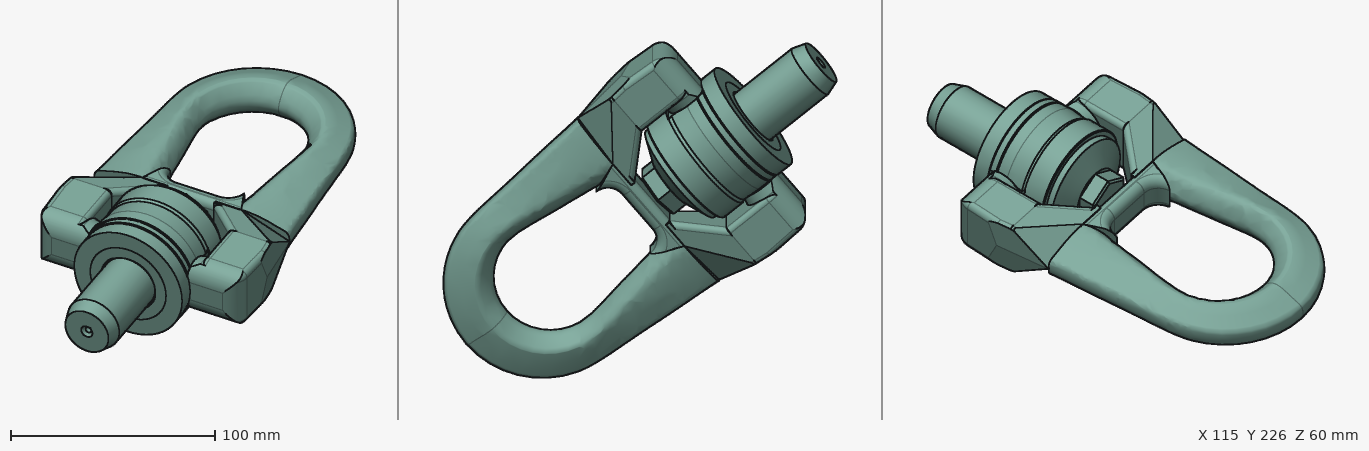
import cadquery as cq
import math


shank_tip_y = -43.2
shank_chamfer_y = -36.2
ring_top_y = 8.4
body_base_y = ring_top_y
body_top_y = 43.0
collar_top_y = 46.5
cone_top_y = 52.6
head_top_y = 61.5

shank_diameter = 28.58
shank_tip_diameter = 24.0
relief_diameter = 30.12
relief_depth = 1.0
journal_diameter = 42.0
collar_diameter = 54.0
cone_top_diameter = 28.0
head_across_flats = 24.2
head_bevel = 1.0
center_hole_diameter = 3.15
center_hole_depth = 5.0
center_countersink_diameter = 6.3

body_diameter = 60.0
ring_diameter = 59.8
edge_chamfer = 0.5
waist_y = 28.8
waist_top_y = 30.6
waist_diameter = 58.6
band_y = 19.2
groove_width = 0.6
groove_depth = 0.5
groove_y = 12.7
flat_half_width = 27.9

bow_center_y = 134.3
bow_radius = 48.5
eye_center_y = 129.0
eye_radius = 27.8
bow_half_thickness = 10.0
bow_inner_round_depth = 9.5
nose_depth = 3.0
nose_half_thickness = 5.5
flank_slope = 0.3
arc_steps = 6
leg_steps = 4

shoulder_y = 66.6
shoulder_half_width = 54.2
shoulder_facet_x = 27.4
leg_inner_half_width = 19.2
eye_bottom_y = 73.8
eye_bottom_half_width = 20.6
eye_corner_radius = 9.0
eye_edge_round = 5.0
crossbar_arch_round = 4.0

lug_half_thickness = 15.5
lug_bottom_y = 9.0
pad_top_y = 44.0
lug_round = 10.2
lug_widest_y = 36.5
lug_half_width = 57.5
lug_lower_half_width = 56.0
lug_flat_half_width = 46.5
foot_corner_round = 9.0
pad_top_half_width = 56.7
lug_edge_round = 3.2
flank_setback = 1.1
arch_top_y = 64.3
arch_top_half_width = 13.3
arch_half_width = 32.4
arch_edge_round = 2.8

boss_center_y = 16.5
boss_base_radius = 14.4
boss_tip_radius = 13.2
boss_root_length = 4.0


def revolve_about_bolt(outline):
    """Turn a closed list of (radius, y) points about the Y axis."""
    profile = cq.Workplane("XY").polyline(outline).close()
    return profile.revolve(360, (0, 0, 0), (0, 1, 0))


def along_y(y):
    """Workplane at height y whose normal points along +Y."""
    return cq.Workplane(cq.Plane((0, y, 0), (1, 0, 0), (0, 1, 0)))


def make_bolt():
    shank_r = shank_diameter / 2
    relief_r = relief_diameter / 2
    journal_r = journal_diameter / 2
    collar_r = collar_diameter / 2
    hole_r = center_hole_diameter / 2
    sink_r = center_countersink_diameter / 2
    sink_floor_y = shank_tip_y + (sink_r - hole_r)
    hole_floor_y = shank_tip_y + center_hole_depth
    turned = revolve_about_bolt([
        (0, hole_floor_y),
        (hole_r, hole_floor_y),
        (hole_r, sink_floor_y),
        (sink_r, shank_tip_y),
        (shank_tip_diameter / 2, shank_tip_y),
        (shank_r, shank_chamfer_y),
        (shank_r, relief_depth),
        (relief_r, relief_depth),
        (relief_r, 0),
        (journal_r, 0),
        (journal_r, body_top_y),
        (collar_r, body_top_y),
        (collar_r, collar_top_y),
        (cone_top_diameter / 2, cone_top_y),
        (0, cone_top_y),
    ])
    corner_diameter = head_across_flats / math.cos(math.pi / 6)
    head = (
        along_y(cone_top_y)
        .transformed(rotate=(0, 0, 90))
        .polygon(6, corner_diameter)
        .extrude(head_top_y - cone_top_y)
        .faces(">Y")
        .chamfer(head_bevel)
    )
    return turned.union(head)


def make_retaining_ring():
    blank = along_y(0).circle(ring_diameter / 2).extrude(ring_top_y)
    return blank.cut(along_y(0).circle(journal_diameter / 2).extrude(ring_top_y))


def make_swivel_body():
    outer_r = body_diameter / 2
    waist_r = waist_diameter / 2
    bore_r = journal_diameter / 2
    body = revolve_about_bolt([
        (bore_r, body_base_y),
        (outer_r - edge_chamfer, body_base_y),
        (outer_r, body_base_y + edge_chamfer),
        (outer_r, band_y),
        (waist_r, waist_y),
        (outer_r, waist_top_y),
        (outer_r, body_top_y - edge_chamfer),
        (outer_r - edge_chamfer, body_top_y),
        (bore_r, body_top_y),
    ])
    groove = (
        along_y(groove_y - groove_width / 2)
        .circle(outer_r)
        .circle(outer_r - groove_depth)
        .extrude(groove_width)
    )
    body = body.cut(groove)
    flat_height = boss_center_y + boss_base_radius - body_base_y
    offset = flat_half_width + outer_r
    for side in (-1, 1):
        beyond_flat = cq.Workplane("XY").box(body_diameter, flat_height, body_diameter)
        body = body.cut(beyond_flat.translate((side * offset, body_base_y + flat_height / 2, 0)))
    return body


def bow_section(outer, inner):
    """Bow cross-section between an outer and an inner edge point (x, y):
    blunt nose outside, sloping flanks, round inside."""
    width = math.dist(outer, inner)
    across = cq.Vector(inner[0] - outer[0], inner[1] - outer[1], 0)
    plane = cq.Plane((outer[0], outer[1], 0), across, across.cross(cq.Vector(0, 0, 1)))
    crest = width - bow_inner_round_depth
    return (
        cq.Workplane(plane)
        .moveTo(0, 0)
        .spline(
            [(nose_depth, nose_half_thickness), (crest, bow_half_thickness), (width, 0),
             (crest, -bow_half_thickness), (nose_depth, -nose_half_thickness), (0, 0)],
            tangents=[(0, 1), (1, flank_slope), (1, 0), (0, -1), (-1, 0), (-1, flank_slope), (0, 1)],
            includeCurrent=True,
        )
        .close()
        .val()
    )


def tangent_angle(center_y, radius, x, y):
    """Angle from +Y at which a line from (x, y) touches a circle centred on the Y axis."""
    rise = y - center_y
    return math.atan2(x, rise) - math.acos(radius / math.hypot(x, rise))


def make_bow():
    outer_end = tangent_angle(bow_center_y, bow_radius, shoulder_half_width, shoulder_y)
    inner_end = tangent_angle(eye_center_y, eye_radius, leg_inner_half_width, shoulder_y)

    outer_ends = (
        (bow_radius * math.sin(outer_end), bow_center_y + bow_radius * math.cos(outer_end)),
        (shoulder_half_width, shoulder_y),
    )
    inner_ends = (
        (eye_radius * math.sin(inner_end), eye_center_y + eye_radius * math.cos(inner_end)),
        (leg_inner_half_width, shoulder_y),
    )

    def arc_section(fraction):
        a = fraction * outer_end
        b = fraction * inner_end
        outer = (bow_radius * math.sin(a), bow_center_y + bow_radius * math.cos(a))
        inner = (eye_radius * math.sin(b), eye_center_y + eye_radius * math.cos(b))
        return bow_section(outer, inner)

    def leg_section(fraction):
        outer = [p + fraction * (q - p) for p, q in zip(*outer_ends)]
        inner = [p + fraction * (q - p) for p, q in zip(*inner_ends)]
        return bow_section(outer, inner)

    arc_sections = [arc_section(i / arc_steps) for i in range(arc_steps + 1)]
    leg_sections = [leg_section((i + 1) / leg_steps) for i in range(leg_steps)]
    half = cq.Workplane(cq.Solid.makeLoft(arc_sections + leg_sections))
    return half.union(half.mirror("YZ"))


def edges_between(x_range, y_range):
    """Selector for edges whose centre lies in the given X and Y ranges."""
    reach = 2 * lug_half_thickness
    low = (x_range[0], y_range[0], -reach)
    high = (x_range[1], y_range[1], reach)
    return cq.selectors.BoxSelector(low, high)


def make_crossbar():
    """Bar that closes the eye, with round lower eye corners and rounded edges."""
    top_y = eye_bottom_y + eye_corner_radius
    blank = (
        cq.Workplane("XY")
        .moveTo(-arch_top_half_width, arch_top_y)
        .lineTo(arch_top_half_width, arch_top_y)
        .lineTo(shoulder_facet_x, shoulder_y)
        .lineTo(eye_bottom_half_width, top_y)
        .radiusArc((eye_bottom_half_width - eye_corner_radius, eye_bottom_y), eye_corner_radius)
        .lineTo(eye_corner_radius - eye_bottom_half_width, eye_bottom_y)
        .radiusArc((-eye_bottom_half_width, top_y), eye_corner_radius)
        .lineTo(-shoulder_facet_x, shoulder_y)
        .close()
        .extrude(bow_half_thickness, both=True)
    )
    eye_edges = edges_between((-1, 1), (eye_bottom_y - 1, eye_bottom_y + 1))
    arch_edges = edges_between((-1, 1), (arch_top_y - 1, arch_top_y + 1))
    return blank.edges(eye_edges).fillet(eye_edge_round).edges(arch_edges).fillet(crossbar_arch_round)


def side_profile():
    """Prism along X: ramp from the bow up to the pads, rounded at the bottom."""
    floor_z = lug_half_thickness - lug_round
    round_y = lug_bottom_y + lug_round
    rise = lug_round * math.sin(math.pi / 4)
    mid = (round_y - rise, floor_z + rise)
    return (
        cq.Workplane("YZ")
        .moveTo(shoulder_y, -bow_half_thickness)
        .lineTo(pad_top_y, -lug_half_thickness)
        .lineTo(round_y, -lug_half_thickness)
        .threePointArc((mid[0], -mid[1]), (lug_bottom_y, -floor_z))
        .lineTo(lug_bottom_y, floor_z)
        .threePointArc(mid, (round_y, lug_half_thickness))
        .lineTo(pad_top_y, lug_half_thickness)
        .lineTo(shoulder_y, bow_half_thickness)
        .close()
        .extrude(lug_half_width, both=True)
    )


def wedge_outside(a, b, c, outward):
    """Block on the outward side of the plane through the points a, b and c."""
    normal = (b - a).cross(c - a)
    if normal.dot(outward) < 0:
        normal = normal * -1
    reach = 2 * lug_half_width
    plane = cq.Plane(a.toTuple(), (b - a).toTuple(), normal.toTuple())
    return cq.Workplane(plane).rect(reach, reach).extrude(reach)


def shoulder_facet(above):
    """Wedge outside the slanted triangular facet at the +X shoulder;
    above is 1 for the +Z facet and -1 for the -Z facet."""
    corner = cq.Vector(shoulder_half_width, shoulder_y, 0)
    crest = cq.Vector(shoulder_facet_x, shoulder_y, above * bow_half_thickness)
    heel = cq.Vector(lug_half_width - lug_edge_round / 2, pad_top_y, above * lug_half_thickness)
    return wedge_outside(corner, heel, crest, cq.Vector(0, 0, above))


def flank_facet(above):
    """Wedge outside the slightly tilted upper flank of the +X lug, which meets
    its mirror image in a ridge at Z = 0."""
    ridge_top = cq.Vector(shoulder_half_width, shoulder_y, 0)
    ridge_foot = cq.Vector(lug_half_width, lug_widest_y, 0)
    edge = cq.Vector(lug_half_width - flank_setback, lug_widest_y, above * lug_half_thickness)
    return wedge_outside(ridge_top, ridge_foot, edge, cq.Vector(1, 0, 0))


def long_edges(workplane, x_range, y_range):
    """Edges in the given X and Y ranges, without those that run along Z or along X."""
    return workplane.edges(edges_between(x_range, y_range)).edges("not (|Z or |X)")


def make_pad():
    """Lower, flat-sided part of the +X lug, with rounded edges and foot."""
    pad = (
        cq.Workplane("XY")
        .moveTo(arch_half_width, lug_bottom_y)
        .lineTo(arch_half_width, pad_top_y)
        .lineTo(pad_top_half_width, pad_top_y)
        .lineTo(lug_half_width, lug_widest_y)
        .lineTo(lug_lower_half_width, lug_bottom_y)
        .close()
        .extrude(lug_half_thickness, both=True)
    )
    foot_corner = edges_between(
        (lug_lower_half_width - 1, lug_half_width), (lug_bottom_y - 1, lug_bottom_y + 1))
    pad = pad.edges(foot_corner).edges("|Z").fillet(foot_corner_round)
    outer_edges = long_edges(pad, (lug_flat_half_width, lug_half_width), (lug_bottom_y, pad_top_y))
    pad = outer_edges.fillet(lug_edge_round)
    pad = pad.intersect(side_profile())
    inner_edges = long_edges(pad, (arch_half_width - 1, arch_half_width + 1), (lug_bottom_y, pad_top_y))
    return inner_edges.fillet(arch_edge_round)


def make_ramp():
    """Upper part of the +X lug, sloping from the pad up to the shoulder."""
    ramp = (
        cq.Workplane("XY")
        .moveTo(0, arch_top_y)
        .lineTo(0, shoulder_y)
        .lineTo(shoulder_half_width, shoulder_y)
        .lineTo(pad_top_half_width, pad_top_y)
        .lineTo(arch_half_width, pad_top_y)
        .lineTo(arch_top_half_width, arch_top_y)
        .close()
        .extrude(lug_half_thickness, both=True)
        .intersect(side_profile())
    )
    arch_edges = long_edges(ramp, (arch_top_half_width + 1, arch_half_width), (pad_top_y, arch_top_y))
    ramp = arch_edges.fillet(arch_edge_round)
    outer_edges = long_edges(ramp, (shoulder_half_width, lug_half_width), (pad_top_y, shoulder_y))
    ramp = outer_edges.fillet(lug_edge_round)
    middle = cq.Workplane("XY").box(2 * arch_top_half_width, shoulder_y, 2 * lug_half_thickness)
    return ramp.cut(middle.translate((0, shoulder_y / 2, 0)))


def make_lug():
    """Lug on the +X side: pad and ramp, trimmed by the slanted facets."""
    lug = make_pad().union(make_ramp())
    for above in (-1, 1):
        lug = lug.cut(shoulder_facet(above))
        lug = lug.cut(flank_facet(above))
    return lug


def make_boss():
    """Conical boss on the +X lug, reaching in to the flat of the swivel body."""
    plane = cq.Plane((flat_half_width, boss_center_y, 0), (0, 1, 0), (1, 0, 0))
    cone_length = arch_half_width - flat_half_width
    boss = (
        cq.Workplane(plane)
        .circle(boss_tip_radius)
        .workplane(offset=cone_length)
        .circle(boss_base_radius)
        .workplane(offset=boss_root_length)
        .circle(boss_base_radius)
        .loft(ruled=True)
    )
    return boss.intersect(side_profile())


def make_link():
    link = make_bow().union(make_crossbar())
    half = make_lug().union(make_boss())
    return link.union(half).union(half.mirror("YZ"))


bolt = make_bolt()
retaining_ring = make_retaining_ring()
swivel_body = make_swivel_body()
link = make_link()

result = cq.Compound.makeCompound([
    link.val(),
    swivel_body.val(),
    bolt.val(),
    retaining_ring.val(),
])